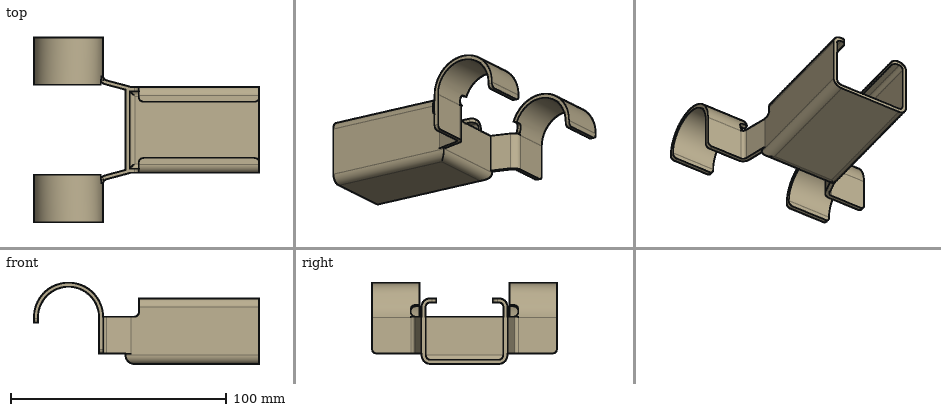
import cadquery as cq
import math

sheet = 2.0
bend_inner = 2.0
bend_outer = bend_inner + sheet
corner_radius = 2.1

channel_front = 42.5
channel_end = 104.7
channel_half_width = 20.0
channel_height = 30.6
floor_bend_inner = 2.3
floor_bend_outer = floor_bend_inner + sheet
lip_start = 48.8
lip_half_gap = 13.1

arm_bottom = 4.9
arm_top = 22.1
arm_bend_x = 45.0
arm_angle = math.radians(15)

hook_radius = 16.1
total_height = 37.9
hook_center_z = total_height - hook_radius
hook_tip_z = 19.2
hook_inner_y = 20.8
total_width = 85.9
hook_outer_y = total_width / 2
hook_back = 2 * hook_radius
relief_depth_y = 24.9
relief_angle = math.radians(20.7)

bend_x = hook_back + bend_inner
bend_y = (
    channel_half_width
    + (arm_bend_x - bend_x) * math.tan(arm_angle)
    + bend_inner / math.cos(arm_angle)
)


def box(x0, x1, y0, y1, z0, z1):
    """Box between opposite corners."""
    return cq.Workplane("XY").box(x1 - x0, y1 - y0, z1 - z0, centered=False).translate((x0, y0, z0))


def make_tray(inset, bottom, bend_radius, end):
    """Solid channel form with rounded lower and lip bends, open-ended at +X."""
    half_width = channel_half_width - inset
    tray = box(channel_front + inset, end, -half_width, half_width, bottom, channel_height - inset)
    tray = tray.faces("<Z").edges("|X or <X").fillet(bend_radius)
    return tray.faces(">Z").edges("|X").fillet(bend_outer - inset)


def make_channel():
    """Channel with a low front wall and inward lips along its high sides."""
    overshoot = 1.0
    cavity = make_tray(sheet, sheet, floor_bend_inner, channel_end + overshoot)
    channel = make_tray(0, 0, floor_bend_outer, channel_end).cut(cavity)
    lip_opening = box(
        lip_start, channel_end, -lip_half_gap, lip_half_gap, channel_height / 2, channel_height
    )
    channel = channel.cut(lip_opening)

    step = box(
        channel_front, lip_start, -channel_half_width, channel_half_width, arm_top, channel_height
    )
    step = step.edges(">X and <Z").fillet(corner_radius)
    channel = channel.cut(step)
    return channel.edges(
        cq.selectors.BoxSelector(
            (lip_start - sheet, -lip_half_gap - sheet / 2, channel_height - 2 * sheet),
            (channel_end + sheet, lip_half_gap + sheet / 2, channel_height + sheet),
        )
    ).edges("|Z").fillet(corner_radius)


def bend_point(radius, angle):
    """Point on the arm bend; the angle runs from the arm end to the hook plate."""
    return (bend_x - radius * math.sin(angle), bend_y - radius * math.cos(angle))


def make_arm():
    """Splayed arm and its bend into the hook plate, on the +Y side."""
    plate_angle = math.pi / 2
    middle_angle = (arm_angle + plate_angle) / 2
    inner_wall_y = (
        channel_half_width
        + (arm_bend_x - channel_front) * math.tan(arm_angle)
        - sheet / math.cos(arm_angle)
    )
    return (
        cq.Workplane("XY", origin=(0, 0, arm_bottom))
        .moveTo(arm_bend_x, channel_half_width)
        .lineTo(*bend_point(bend_inner, arm_angle))
        .threePointArc(bend_point(bend_inner, middle_angle), bend_point(bend_inner, plate_angle))
        .lineTo(*bend_point(bend_outer, plate_angle))
        .threePointArc(bend_point(bend_outer, middle_angle), bend_point(bend_outer, arm_angle))
        .lineTo(channel_front, inner_wall_y)
        .lineTo(arm_bend_x, channel_half_width - sheet)
        .close()
        .extrude(arm_top - arm_bottom)
    )


def make_relief():
    """Rounded relief between the arm top and the hook's radial inner edge."""
    near = hook_radius - 2 * sheet
    far = hook_radius + sheet
    relief = (
        cq.Workplane("XZ", origin=(hook_radius, relief_depth_y, hook_center_z))
        .moveTo(near, arm_top - hook_center_z)
        .lineTo(far, arm_top - hook_center_z)
        .lineTo(far, far * math.tan(relief_angle))
        .lineTo(near, near * math.tan(relief_angle))
        .close()
        .extrude(relief_depth_y - channel_half_width)
    )
    top_and_bottom = relief.faces(">Y").edges("not |Z")
    return top_and_bottom.fillet(bend_inner)


def make_hook():
    """Half-round hook and its back plate, on the +Y side."""
    inner_radius = hook_radius - sheet
    hook = (
        cq.Workplane("XZ", origin=(0, hook_outer_y, 0))
        .moveTo(0, hook_tip_z)
        .lineTo(0, hook_center_z)
        .threePointArc((hook_radius, hook_center_z + hook_radius), (hook_back, hook_center_z))
        .lineTo(hook_back, arm_bottom)
        .lineTo(hook_back - sheet, arm_bottom)
        .lineTo(hook_back - sheet, hook_center_z)
        .threePointArc((hook_radius, hook_center_z + inner_radius), (sheet, hook_center_z))
        .lineTo(sheet, hook_tip_z)
        .close()
        .extrude(hook_outer_y - hook_inner_y)
    )
    hook = hook.edges("|X").edges("<X or (>Y and <Z)").fillet(corner_radius)
    beside_arm = box(hook_radius, hook_back, hook_inner_y, bend_y, arm_bottom, arm_top)
    return hook.cut(beside_arm).cut(make_relief())


side = make_arm().union(make_hook())
result = make_channel().union(side).union(side.mirror("XZ"))